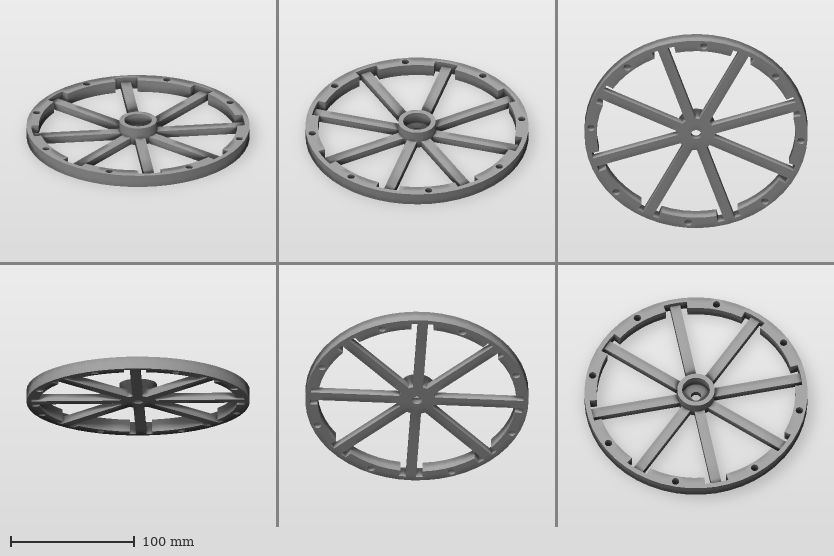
import cadquery as cq

rim_diameter = 180
rim_inner_diameter = 160.2
rim_height = 10.0

spoke_count = 8
spoke_angle = 360 / spoke_count
spoke_width = 8.3
spoke_height = 6.0
spoke_reach = 86.0
notch_sweep = 12.8

hub_diameter = 30.2
hub_height = 15.0
recess_diameter = 22.3
recess_depth = 10.0
bore_diameter = 8.3

rim_hole_diameter = 6.0
rim_hole_radius = 85.0


def radial_bar(length, width, height, angle):
    """Bar on the base plane running outward from the wheel axis."""
    bar = cq.Workplane("XY").box(length, width, height, centered=(False, True, False))
    return bar.rotate((0, 0, 0), (0, 0, 1), angle)


def make_notch(angle):
    """Sector with radial sides and a round floor, centred on the given angle."""
    start_angle = angle - notch_sweep / 2
    profile = (
        cq.Workplane("XZ")
        .rect(spoke_reach, rim_height, centered=False)
        .revolve(notch_sweep, (0, 0), (0, 1))
    )
    return profile.rotate((0, 0, 0), (0, 0, 1), start_angle)


def make_rim():
    rim = cq.Workplane("XY").circle(rim_diameter / 2).circle(rim_inner_diameter / 2).extrude(rim_height)
    for i in range(spoke_count):
        rim = rim.cut(make_notch(i * spoke_angle))
    holes = (
        cq.Workplane("XY")
        .polarArray(rim_hole_radius, spoke_angle / 2, 360, spoke_count)
        .circle(rim_hole_diameter / 2)
        .extrude(rim_height)
    )
    return rim.cut(holes)


def make_spokes():
    spokes = radial_bar(spoke_reach, spoke_width, spoke_height, 0)
    for i in range(1, spoke_count):
        spokes = spokes.union(radial_bar(spoke_reach, spoke_width, spoke_height, i * spoke_angle))
    return spokes


def cut_hub_openings(wheel):
    """Round recess in the hub top with a smaller through bore."""
    recess_floor = hub_height - recess_depth
    recess = cq.Workplane("XY").workplane(offset=recess_floor).circle(recess_diameter / 2).extrude(recess_depth)
    bore = cq.Workplane("XY").circle(bore_diameter / 2).extrude(hub_height)
    return wheel.cut(recess).cut(bore)


hub = cq.Workplane("XY").circle(hub_diameter / 2).extrude(hub_height)
result = cut_hub_openings(make_rim().union(make_spokes()).union(hub))